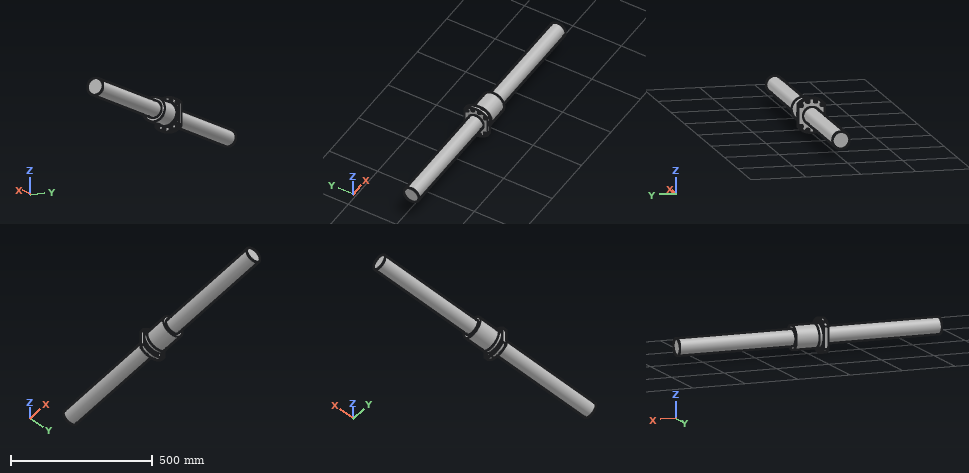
import cadquery as cq
import math

SHAFT_LENGTH = 1000.0
SHAFT_DIAMETER = 63.0
SHAFT_CHAMFER = 1.0

NUT_LENGTH = 120.0
NUT_START_X = -NUT_LENGTH / 2
NUT_DIAMETER = 89.0
PILOT_LENGTH = 15.0
PILOT_DIAMETER = 90.0
FLANGE_THICKNESS = 18.0
FLANGE_DIAMETER = 125.0
FLANGE_WIDTH = 95.0
RIM_CHAMFER = 1.0

BOLT_CIRCLE_RADIUS = 54.0
BOLT_HOLE_DIAMETER = 11.0
BOLT_ANGLES = (45, 75, 105, 135, 225, 255, 285, 315)

OIL_HOLE_DIAMETER = 6.0
OIL_HOLE_DEPTH = 12.0
OIL_HOLE_ANGLE = 60


def rod(start_x, length, diameter):
    """Solid cylinder along +X from start_x."""
    return cq.Workplane("YZ", origin=(start_x, 0, 0)).circle(diameter / 2).extrude(length)


def make_shaft():
    shaft = rod(-SHAFT_LENGTH / 2, SHAFT_LENGTH, SHAFT_DIAMETER)
    return shaft.faces("<X or >X").chamfer(SHAFT_CHAMFER)


def make_flange():
    """Disc with two parallel flats and the mounting holes."""
    disc = rod(NUT_START_X, FLANGE_THICKNESS, FLANGE_DIAMETER)
    disc = disc.faces(">X").chamfer(RIM_CHAMFER)
    flats = (
        cq.Workplane("YZ", origin=(NUT_START_X, 0, 0))
        .rect(FLANGE_WIDTH, FLANGE_DIAMETER)
        .extrude(FLANGE_THICKNESS)
    )
    hole_centres = [
        (
            BOLT_CIRCLE_RADIUS * math.cos(math.radians(angle)),
            BOLT_CIRCLE_RADIUS * math.sin(math.radians(angle)),
        )
        for angle in BOLT_ANGLES
    ]
    holes = (
        cq.Workplane("YZ", origin=(NUT_START_X, 0, 0))
        .pushPoints(hole_centres)
        .circle(BOLT_HOLE_DIAMETER / 2)
        .extrude(FLANGE_THICKNESS)
    )
    return disc.intersect(flats).cut(holes)


def make_oil_hole():
    """Blind radial drilling from the flange rim."""
    angle = math.radians(OIL_HOLE_ANGLE)
    outward = cq.Vector(0, math.cos(angle), math.sin(angle))
    rim_point = cq.Vector(NUT_START_X + FLANGE_THICKNESS / 2, 0, 0) + outward * (FLANGE_DIAMETER / 2)
    drilling = cq.Solid.makeCylinder(OIL_HOLE_DIAMETER / 2, OIL_HOLE_DEPTH, rim_point, -outward)
    return cq.Workplane(obj=drilling)


def make_nut():
    pilot_start = NUT_START_X + FLANGE_THICKNESS
    body_start = pilot_start + PILOT_LENGTH
    body_length = NUT_LENGTH - FLANGE_THICKNESS - PILOT_LENGTH
    nut = make_flange()
    nut = nut.union(rod(pilot_start, PILOT_LENGTH, PILOT_DIAMETER))
    nut = nut.union(rod(body_start, body_length, NUT_DIAMETER))
    nut = nut.cut(rod(NUT_START_X, NUT_LENGTH, SHAFT_DIAMETER))
    return nut.cut(make_oil_hole())


shaft = make_shaft()
nut = make_nut()

result = cq.Compound.makeCompound([shaft.val(), nut.val()])